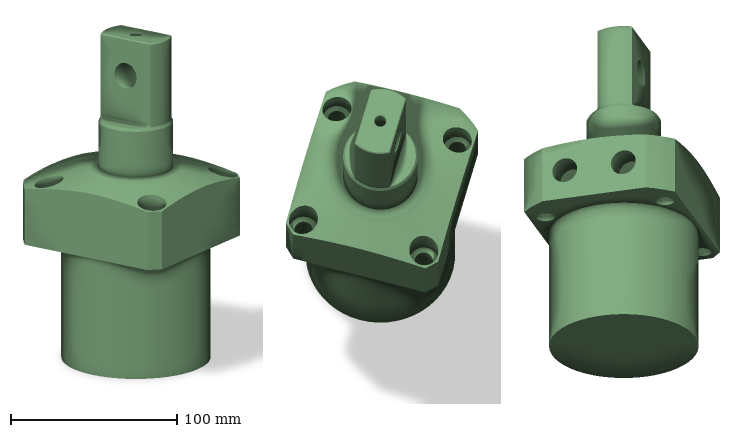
import cadquery as cq
import math

total_height = 203.0
flange_bottom = 74.0
flange_top = 120.0
shoulder_top = 150.5

barrel_diameter = 90.0
flange_left = 59.5
flange_right = 47.5
flange_width = 95.0
left_corner_radius = 67.8
right_corner_chamfer = 6.3
crown_diameter = 55.8
crown_slope = 15.0

bolt_spacing = 75.1
bolt_diameter = 11.0
counterbore_diameter = 17.5
counterbore_floor = 97.5

port_diameter = 15.6
port_spacing = 37.0
port_height = 92.8
port_depth = 16.2

shank_diameter = 44.9
shank_chamfer_height = 1.8
tang_diameter = 42.6
tang_thickness = 22.0
tang_chamfer = 0.6
tang_foot_fillet = 1.0
pin_hole_diameter = 16.0
pin_hole_height = total_height - 23.3
end_hole_diameter = 7.0
end_hole_mouth_diameter = 8.0


def flange_blank():
    """Flange outline extruded to full height, before the top is coned."""
    half_width = flange_width / 2
    left_corner_y = math.sqrt(left_corner_radius**2 - flange_left**2)
    left_corner_x = -math.sqrt(left_corner_radius**2 - half_width**2)
    middle_angle = (
        math.atan2(left_corner_y, -flange_left) + math.atan2(half_width, left_corner_x)
    ) / 2
    arc_x = left_corner_radius * math.cos(middle_angle)
    arc_y = left_corner_radius * math.sin(middle_angle)
    chamfer_x = flange_right - right_corner_chamfer
    chamfer_y = half_width - right_corner_chamfer
    return (
        cq.Workplane("XY", origin=(0, 0, flange_bottom))
        .moveTo(-flange_left, -left_corner_y)
        .threePointArc((arc_x, -arc_y), (left_corner_x, -half_width))
        .lineTo(chamfer_x, -half_width)
        .lineTo(flange_right, -chamfer_y)
        .lineTo(flange_right, chamfer_y)
        .lineTo(chamfer_x, half_width)
        .lineTo(left_corner_x, half_width)
        .threePointArc((arc_x, arc_y), (-flange_left, left_corner_y))
        .close()
        .extrude(flange_top - flange_bottom)
    )


def crown_envelope():
    """Revolved envelope that slopes the flange top away from the flat crown."""
    crown_radius = crown_diameter / 2
    outer_radius = flange_left + flange_width / 2
    slope_drop = (outer_radius - crown_radius) * math.tan(math.radians(crown_slope))
    return (
        cq.Workplane("XZ")
        .moveTo(0, flange_bottom)
        .lineTo(outer_radius, flange_bottom)
        .lineTo(outer_radius, flange_top - slope_drop)
        .lineTo(crown_radius, flange_top)
        .lineTo(0, flange_top)
        .close()
        .revolve(360, (0, 0, 0), (0, 1, 0))
    )


def mounting_holes():
    """Four through holes with counterbores open at the sloping top."""
    holes = (
        cq.Workplane("XY", origin=(0, 0, flange_bottom))
        .rect(bolt_spacing, bolt_spacing, forConstruction=True)
        .vertices()
        .circle(bolt_diameter / 2)
        .extrude(flange_top - flange_bottom)
    )
    counterbores = (
        cq.Workplane("XY", origin=(0, 0, counterbore_floor))
        .rect(bolt_spacing, bolt_spacing, forConstruction=True)
        .vertices()
        .circle(counterbore_diameter / 2)
        .extrude(flange_top - counterbore_floor)
    )
    return holes.union(counterbores)


def ports():
    """Two blind ports running inward from the -X face."""
    return (
        cq.Workplane("YZ", origin=(-flange_left, 0, port_height))
        .pushPoints([(-port_spacing / 2, 0), (port_spacing / 2, 0)])
        .circle(port_diameter / 2)
        .extrude(port_depth)
    )


def make_housing():
    barrel = cq.Workplane("XY").circle(barrel_diameter / 2).extrude(flange_bottom)
    flange = flange_blank().intersect(crown_envelope()).cut(mounting_holes())
    return barrel.union(flange).cut(ports())


def make_shank():
    """Round shank standing on the crown, chamfered at its top down to the tang diameter."""
    radius = shank_diameter / 2
    return (
        cq.Workplane("XZ")
        .moveTo(0, flange_top)
        .lineTo(radius, flange_top)
        .lineTo(radius, shoulder_top - shank_chamfer_height)
        .lineTo(tang_diameter / 2, shoulder_top)
        .lineTo(0, shoulder_top)
        .close()
        .revolve(360, (0, 0, 0), (0, 1, 0))
    )


def make_tang():
    """Round bar cut to two parallel flats."""
    tang_height = total_height - shoulder_top
    bar = cq.Workplane("XY", origin=(0, 0, shoulder_top)).circle(tang_diameter / 2).extrude(tang_height)
    flats = cq.Workplane("XY", origin=(0, 0, shoulder_top)).box(
        tang_diameter, tang_thickness, tang_height, centered=(True, True, False)
    )
    return bar.intersect(flats).faces(">Z").chamfer(tang_chamfer)


def tang_foot():
    """Concave fillets between the two flats and the shoulder."""
    flat_y = tang_thickness / 2
    foot_y = flat_y + tang_foot_fillet
    foot_top = shoulder_top + tang_foot_fillet
    arc_inset = tang_foot_fillet * (1 - math.sqrt(0.5))
    profile = (
        cq.Workplane("YZ", origin=(-tang_diameter / 2, 0, 0))
        .moveTo(-foot_y, shoulder_top)
        .lineTo(foot_y, shoulder_top)
        .threePointArc((flat_y + arc_inset, shoulder_top + arc_inset), (flat_y, foot_top))
        .lineTo(-flat_y, foot_top)
        .threePointArc((-flat_y - arc_inset, shoulder_top + arc_inset), (-foot_y, shoulder_top))
        .close()
        .extrude(tang_diameter)
    )
    bounds = (
        cq.Workplane("XY", origin=(0, 0, shoulder_top))
        .circle(tang_diameter / 2)
        .extrude(tang_foot_fillet)
    )
    return profile.intersect(bounds)


def make_rod():
    pin_hole = (
        cq.Workplane("XZ", origin=(0, tang_thickness / 2, pin_hole_height))
        .circle(pin_hole_diameter / 2)
        .extrude(tang_thickness)
    )
    end_hole = (
        cq.Workplane("XY", origin=(0, 0, pin_hole_height))
        .circle(end_hole_diameter / 2)
        .extrude(total_height - pin_hole_height)
    )
    mouth_chamfer = (end_hole_mouth_diameter - end_hole_diameter) / 2
    body = make_shank().union(make_tang()).union(tang_foot())
    mouth = (
        cq.Workplane("XY", origin=(0, 0, total_height))
        .circle(end_hole_mouth_diameter / 2)
        .workplane(offset=-mouth_chamfer)
        .circle(end_hole_diameter / 2)
        .loft(ruled=True)
    )
    return body.cut(pin_hole).cut(end_hole).cut(mouth)


housing = make_housing()
rod = make_rod()

result = cq.Compound.makeCompound([housing.val(), rod.val()])